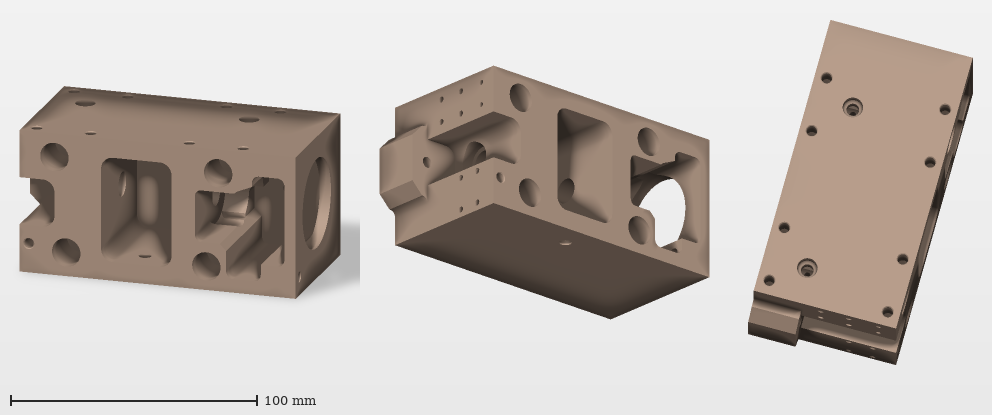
import cadquery as cq
import math

LENGTH = 126.0
DEPTH = 60.0
HEIGHT = 60.5
MID_Z = HEIGHT / 2

BODY_LEFT = 8.3
BACK_WALL = 12.0
POCKET_DEPTH = DEPTH - BACK_WALL
OVERLAP = 1.3

TO_BACK = (0, 1, 0)
TO_RIGHT = (1, 0, 0)
UP = (0, 0, 1)
DOWN = (0, 0, -1)

TONGUE_THICK = 19.9
TONGUE_NOSE_HALF = 10.1
TONGUE_BEVEL = 5.3
TONGUE_ROOT_R = 2.5
NOTCH_LENGTH = 14.9
NOTCH_HEIGHT = 20.2
NOTCH_R = 5.0
DOWEL_DIA = 4.7
DOWEL_XS = (8.1, 107.9)

MID_POCKET_X = (43.1, 73.1)
MID_POCKET_MARGIN = 8.0
MID_POCKET_R = 5.0
FLOOR_HOLE_DIA = 5.2
FLOOR_HOLE_INSET = 11.7

BORE_Y = DEPTH - 31.8
BORE_Z = 32.0
BORE_DIA = 25.0
BEARING_DIA = 38.0
BEARING_GROOVE = 0.03
SHAFT_DIA = 10.5
SHAFT_SEAT_DIA = 14.2
SHAFT_SEAT_DEPTH = 5.0

LEFT_X = 93.2
FOOT_LEFT = 96.4
STEP_X = 99.3
TOP_X = 107.4
FOOT_RIGHT = 111.1
RIGHT_X = 121.2
FOOT_Z = 5.8
SHELF_Z = BORE_Z - BEARING_DIA / 2 + BEARING_GROOVE
FOOT_TOP_Z = 17.5
LEFT_BOTTOM_Z = 20.7
STEP_Z = 32.5
STEP_TOP_Z = 42.6
SLOPE_TOP_Z = 46.0
TOP_Z = 50.7
RIGHT_POCKET_R = 3.0
WALL_HOLE_DIA = 4.5
WALL_HOLE_YZ = (5.0, 7.8)

SLOT_LEFT = 83.2
SLOT_Z = (20.3, 42.3)
SLOT_DEPTH = 35.8
SLOT_R = 2.5

MOUNT_EDGE = 10.1
MOUNT_TOP_XS = (23.2, 93.0)
MOUNT_BOTTOM_XS = (28.2, 88.0)
MOUNT_DIA = 5.3
MOUNT_HEAD_DIA = 12.1
MOUNT_HEAD_DEPTH = 19.9
SIDE_HOLE_XZ = (12.2, 12.3)
SIDE_HOLE_DIA = 4.0

TAP_DIA = 4.3
TAP_DEPTH = 10.1
TAP_XS = (14.1, 37.0, 79.1, 102.0)
TAP_INSET = 5.0
PORT_INSET = 18.5
PORT_STEPS = ((8.3, 3.9), (5.2, 7.8))
PORT_DIA = 2.6
PORT_DEPTH = 27.6

PIN_DIA = 2.5
SMALL_PIN_DIA = 2.0
PIN_DEPTH = 6.0
PINS = ((28.2, 55.3), (28.2, 45.5), (40.1, 55.3), (40.1, 45.5),
        (40.1, 17.3), (50.0, 17.3), (40.1, 3.3), (50.0, 3.3))
SMALL_PINS = ((52.5, 55.3), (52.5, 45.6))

CHAMFER = 0.4
DRILL_POINT = math.radians(118)


def cylinder(start, direction, diameter, length):
    solid = cq.Solid.makeCylinder(diameter / 2, length, cq.Vector(*start), cq.Vector(*direction))
    return cq.Workplane(solid)


def drilled_hole(start, direction, diameter, depth):
    """Blind hole with a conical drill point beyond its full-diameter depth."""
    bottom = cq.Vector(*start) + cq.Vector(*direction) * depth
    tip = diameter / 2 / math.tan(DRILL_POINT / 2)
    point = cq.Solid.makeCone(diameter / 2, 0, tip, bottom, cq.Vector(*direction))
    return cylinder(start, direction, diameter, depth).union(cq.Workplane(point))


def chamfer_cone(start, direction, diameter):
    """45 degree countersink at the mouth of a hole."""
    r = diameter / 2
    solid = cq.Solid.makeCone(r + CHAMFER, r, CHAMFER, cq.Vector(*start), cq.Vector(*direction))
    return cq.Workplane(solid)


def front_box(x_range, z_range, depth):
    """Box that starts at the front face and reaches back by depth."""
    (x0, x1), (z0, z1) = x_range, z_range
    return cq.Workplane("XY").box(x1 - x0, depth, z1 - z0, centered=False).translate((x0, 0, z0))


def make_tongue():
    """Bevelled tongue with concave fillets where it meets the body."""
    shoulder = TONGUE_NOSE_HALF + TONGUE_BEVEL
    root_x = BODY_LEFT - TONGUE_ROOT_R
    root_end = shoulder + TONGUE_ROOT_R
    bend = TONGUE_ROOT_R * math.sqrt(0.5)
    inside = BODY_LEFT + NOTCH_LENGTH
    outline = (
        cq.Workplane("XZ", origin=(0, DEPTH, MID_Z))
        .moveTo(0, -TONGUE_NOSE_HALF)
        .lineTo(0, TONGUE_NOSE_HALF)
        .lineTo(TONGUE_BEVEL, shoulder)
        .lineTo(root_x, shoulder)
        .threePointArc((root_x + bend, root_end - bend), (BODY_LEFT, root_end))
        .lineTo(inside, root_end)
        .lineTo(inside, -root_end)
        .lineTo(BODY_LEFT, -root_end)
        .threePointArc((root_x + bend, bend - root_end), (root_x, -shoulder))
        .lineTo(TONGUE_BEVEL, -shoulder)
        .close()
    )
    return outline.extrude(TONGUE_THICK)


def make_notch():
    end = BODY_LEFT + NOTCH_LENGTH
    z_range = (MID_Z - NOTCH_HEIGHT / 2, MID_Z + NOTCH_HEIGHT / 2)
    notch = front_box((0, end), z_range, DEPTH - TONGUE_THICK)
    return notch.edges("|Y and >X").fillet(NOTCH_R)


def make_middle_pocket():
    """Rounded pocket with one hole down through its lower wall."""
    pocket = front_box(MID_POCKET_X, (MID_POCKET_MARGIN, HEIGHT - MID_POCKET_MARGIN), POCKET_DEPTH)
    pocket = pocket.edges("|Y").fillet(MID_POCKET_R)
    hole_x = sum(MID_POCKET_X) / 2
    hole = cylinder((hole_x, FLOOR_HOLE_INSET, 0), UP, FLOOR_HOLE_DIA, MID_Z)
    return pocket.union(hole)


def make_right_pocket():
    """Irregular deep pocket, joined on its left by a shallower slot."""
    rounded = [
        (FOOT_LEFT, FOOT_Z),
        (FOOT_RIGHT, FOOT_Z),
        (RIGHT_X, SHELF_Z),
        (RIGHT_X, TOP_Z),
        (TOP_X, TOP_Z),
        (STEP_X, STEP_TOP_Z),
        (LEFT_X, STEP_Z),
    ]
    outline = (
        cq.Workplane("XZ")
        .moveTo(FOOT_LEFT, FOOT_Z)
        .lineTo(FOOT_RIGHT, FOOT_Z)
        .lineTo(FOOT_RIGHT, SHELF_Z)
        .lineTo(RIGHT_X, SHELF_Z)
        .lineTo(RIGHT_X, TOP_Z)
        .lineTo(TOP_X, TOP_Z)
        .lineTo(TOP_X, SLOPE_TOP_Z)
        .lineTo(STEP_X, STEP_TOP_Z)
        .lineTo(STEP_X, STEP_Z)
        .lineTo(LEFT_X, STEP_Z)
        .lineTo(LEFT_X, LEFT_BOTTOM_Z)
        .lineTo(FOOT_LEFT, FOOT_TOP_Z)
        .close()
    )
    pocket = outline.extrude(-POCKET_DEPTH)
    for x, z in rounded:
        edge_middle = (x, POCKET_DEPTH / 2, z)
        pocket = pocket.edges(cq.selectors.NearestToPointSelector(edge_middle)).fillet(RIGHT_POCKET_R)
    slot = front_box((SLOT_LEFT, STEP_X + OVERLAP), SLOT_Z, SLOT_DEPTH)
    slot = slot.edges("|Y and <X").fillet(SLOT_R)
    hole = cylinder((FOOT_RIGHT - OVERLAP, *WALL_HOLE_YZ), TO_RIGHT, WALL_HOLE_DIA, LENGTH)
    return pocket.union(slot).union(hole)


def make_long_bore():
    """Shaft hole from the notch, widening to the right, all on one axis."""
    floor_x = BODY_LEFT + NOTCH_LENGTH
    bore = cylinder((SLOT_LEFT, BORE_Y, BORE_Z), TO_RIGHT, BORE_DIA, LENGTH)
    bearing = cylinder((TOP_X, BORE_Y, BORE_Z), TO_RIGHT, BEARING_DIA, LENGTH)
    shaft = cylinder((floor_x, BORE_Y, BORE_Z), TO_RIGHT, SHAFT_DIA, LENGTH)
    seat_start = (floor_x - NOTCH_R, BORE_Y, BORE_Z)
    seat = cylinder(seat_start, TO_RIGHT, SHAFT_SEAT_DIA, NOTCH_R + SHAFT_SEAT_DEPTH)
    return bore.union(bearing).union(shaft).union(seat)


def front_holes():
    top_row = [(x, HEIGHT - MOUNT_EDGE) for x in MOUNT_TOP_XS]
    bottom_row = [(x, MOUNT_EDGE) for x in MOUNT_BOTTOM_XS]
    for x, z in top_row + bottom_row:
        yield cylinder((x, 0, z), TO_BACK, MOUNT_DIA, DEPTH)
        yield cylinder((x, 0, z), TO_BACK, MOUNT_HEAD_DIA, MOUNT_HEAD_DEPTH)
    for x in DOWEL_XS:
        yield cylinder((x, 0, MID_Z), TO_BACK, DOWEL_DIA, DEPTH)
    x, z = SIDE_HOLE_XZ
    yield cylinder((x, 0, z), TO_BACK, SIDE_HOLE_DIA, DEPTH)
    yield chamfer_cone((x, 0, z), TO_BACK, SIDE_HOLE_DIA)


def top_holes():
    for x in TAP_XS:
        for y in (TAP_INSET, DEPTH - TAP_INSET):
            yield drilled_hole((x, y, HEIGHT), DOWN, TAP_DIA, TAP_DEPTH)
            yield chamfer_cone((x, y, HEIGHT), DOWN, TAP_DIA)
    for x in MOUNT_TOP_XS:
        mouth = (x, DEPTH - PORT_INSET, HEIGHT)
        yield drilled_hole(mouth, DOWN, PORT_DIA, PORT_DEPTH)
        for diameter, depth in PORT_STEPS:
            yield cylinder(mouth, DOWN, diameter, depth)


def left_holes():
    for diameter, places in ((PIN_DIA, PINS), (SMALL_PIN_DIA, SMALL_PINS)):
        for from_back, z in places:
            yield drilled_hole((BODY_LEFT, DEPTH - from_back, z), TO_RIGHT, diameter, PIN_DEPTH)


body = front_box((BODY_LEFT, LENGTH), (0, HEIGHT), DEPTH)
body = body.cut(make_notch()).union(make_tongue())
body = body.cut(make_middle_pocket()).cut(make_right_pocket()).cut(make_long_bore())
for holes in (front_holes(), top_holes(), left_holes()):
    for hole in holes:
        body = body.cut(hole)
result = cq.Workplane(body.solids().val())